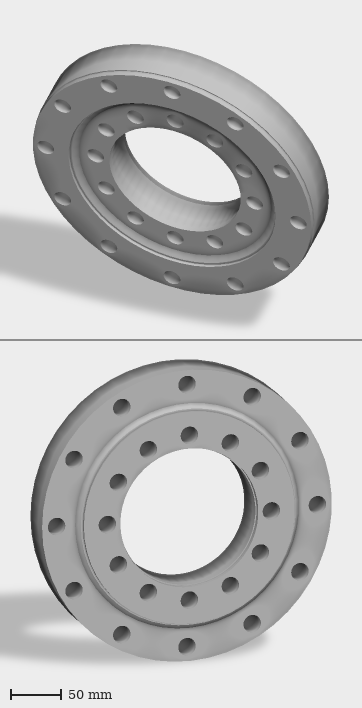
import cadquery as cq
import math


outer_radius = 150.0
total_width = 52.0
face_offset = 8.0
outer_ring_back = total_width - face_offset

outer_ring_bore_radius = 110.7
inner_ring_outer_radius = 109.2
inner_ring_bore_radius = 70.2

step_width = 6.0
step_depth = 1.2

seal_height = 4.8
back_seal_base_radius = 115.8
back_seal_crest_radius = 111.3
front_seal_base_radius = 102.5
front_seal_crest_radius = 108.5

bolt_count = 12
bolt_hole_radius = 9.0
outer_bolt_circle_radius = 135.0
inner_bolt_circle_radius = 85.0

grease_hole_radius = 4.2
grease_hole_angle = 180.0 / bolt_count
grease_hole_y = total_width / 2
grease_hole_overrun = 3.0


def revolve_profile(points):
    """Revolve a closed (radius, y) outline around the Y axis."""
    return cq.Workplane("XY").polyline(points).close().revolve(360, (0, 0, 0), (0, 1, 0))


def bolt_holes(circle_radius):
    """Cylinders along Y, evenly spaced on a circle and long enough to pass through a ring."""
    return (
        cq.Workplane("XZ")
        .polarArray(circle_radius, 0, 360, bolt_count)
        .circle(bolt_hole_radius)
        .extrude(-total_width)
    )


def grease_hole():
    """Radial cylinder from the axis to beyond the rim, on the -X side and raised towards +Z."""
    angle = math.radians(grease_hole_angle)
    direction = cq.Vector(-math.cos(angle), 0, math.sin(angle))
    start = cq.Vector(0, grease_hole_y, 0)
    length = outer_radius + grease_hole_overrun
    return cq.Workplane(cq.Solid.makeCylinder(grease_hole_radius, length, start, direction))


def make_outer_ring():
    ring = revolve_profile([
        (outer_ring_bore_radius, 0),
        (outer_radius - step_depth, 0),
        (outer_radius - step_depth, step_width),
        (outer_radius, step_width),
        (outer_radius, outer_ring_back),
        (outer_ring_bore_radius, outer_ring_back),
    ])
    return ring.cut(bolt_holes(outer_bolt_circle_radius)).cut(grease_hole())


def make_inner_ring():
    ring = revolve_profile([
        (inner_ring_bore_radius, face_offset),
        (inner_ring_outer_radius, face_offset),
        (inner_ring_outer_radius, total_width),
        (inner_ring_bore_radius + step_depth, total_width),
        (inner_ring_bore_radius + step_depth, total_width - step_width),
        (inner_ring_bore_radius, total_width - step_width),
    ])
    return ring.cut(bolt_holes(inner_bolt_circle_radius))


def make_front_seal():
    """Seal on the inner ring's front face, rising to a flat crest against the outer ring's bore."""
    crest_y = face_offset - seal_height
    return revolve_profile([
        (front_seal_base_radius, face_offset),
        (outer_ring_bore_radius, face_offset),
        (outer_ring_bore_radius, crest_y),
        (front_seal_crest_radius, crest_y),
    ])


def make_back_seal():
    """Seal on the outer ring's back face, rising to a flat crest against the inner ring."""
    crest_y = outer_ring_back + seal_height
    return revolve_profile([
        (back_seal_base_radius, outer_ring_back),
        (inner_ring_outer_radius, outer_ring_back),
        (inner_ring_outer_radius, crest_y),
        (back_seal_crest_radius, crest_y),
    ])


outer_ring = make_outer_ring()
inner_ring = make_inner_ring()
front_seal = make_front_seal()
back_seal = make_back_seal()

result = cq.Compound.makeCompound([
    outer_ring.val(),
    inner_ring.val(),
    front_seal.val(),
    back_seal.val(),
])